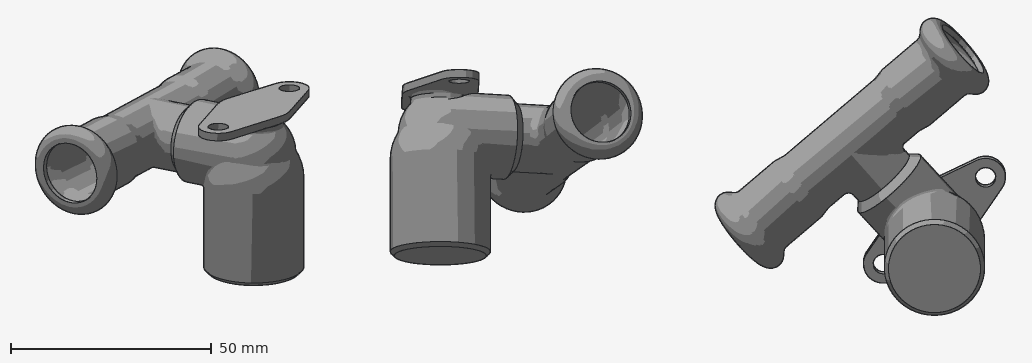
import cadquery as cq
import math

run_length = 74.0
run_radius = 17.0 / 2
socket_radius = 18.2 / 2
bead_radius = 11.5
bead_tube_radius = 2.9
bead_to_socket_fillet = 2.2
reducer_start = 15.0
reducer_end = 18.0
reducer_fillet = 2.2

wall = 1.5
mouth_radius = 7.8
mouth_start = run_length / 2 - bead_tube_radius

arm_radius = 21.0 / 2
arm_start = 14.0
arm_chamfer = arm_radius - run_radius
outlet_radius = 25.0 / 2
outlet_x = 31.0
outlet_shoulder_z = -6.6
outlet_bottom_z = -31.1
outlet_chamfer = 1.0
tee_fillet = 1.7
tee_half_width = 14.05
elbow_fillet = 1.0

plate_top_z = 11.9
plate_thickness = 2.0
plate_bottom_z = plate_top_z - plate_thickness
plate_middle_radius = 9.4
plate_end_radius = 4.95
plate_hole_offset = 17.0
plate_hole_diameter = 5.0
neck_radius = 7.4
neck_plate_fillet = 1.1
neck_foot_fillet = 0.7


def make_half_run(inset):
    """Revolved half of the run, from its middle to one end, shrunk by inset."""
    end_y = run_length / 2 - inset
    pipe_radius = run_radius - inset
    cup_radius = socket_radius - inset
    tube_radius = bead_tube_radius - inset
    bead_y = run_length / 2 - bead_tube_radius
    bead_centre = bead_radius - bead_tube_radius
    diagonal = tube_radius * math.sqrt(0.5)
    cone_y = bead_y - diagonal
    cone_radius = bead_centre + diagonal
    neck_y = cone_y - (cone_radius - cup_radius)
    half_run = (
        cq.Workplane("XY")
        .lineTo(pipe_radius, 0)
        .lineTo(pipe_radius, reducer_start)
        .lineTo(cup_radius, reducer_end)
        .lineTo(cup_radius, neck_y)
        .lineTo(cone_radius, cone_y)
        .threePointArc((bead_centre + tube_radius, bead_y), (bead_centre, end_y))
        .lineTo(0, end_y)
        .close()
        .revolve(360, (0, 0, 0), (0, 1, 0))
    )
    half_run = half_run.edges(ring_at(neck_y)).fillet(bead_to_socket_fillet + inset)
    for ring_y in (reducer_start, reducer_end):
        half_run = half_run.edges(ring_at(ring_y)).fillet(reducer_fillet)
    return half_run


def make_run(inset):
    """Run along Y: two wider sockets with a rounded bead at each end."""
    half_run = make_half_run(inset)
    return half_run.union(half_run.mirror("XZ"))


def ring_at(y):
    """Box selector for the circular edge around the Y axis at position y."""
    reach = 2 * bead_radius
    margin = 0.1
    return cq.selectors.BoxSelector(
        (-reach, y - margin, -reach), (reach, y + margin, reach), boundingbox=True
    )


def make_bore():
    """Cavity of the run, opened by a round mouth at both ends."""
    mouths = (
        cq.Workplane("XZ", origin=(0, -mouth_start, 0))
        .circle(mouth_radius)
        .extrude(run_length / 2 - mouth_start)
    )
    return make_run(wall).union(mouths).union(mouths.mirror("XZ"))


def make_elbow():
    """Round-ended arm blended into a domed outlet."""
    arm = (
        cq.Workplane("YZ", origin=(arm_start - arm_chamfer, 0, 0))
        .circle(arm_radius)
        .extrude(outlet_x - arm_start + arm_chamfer)
        .faces("<X")
        .chamfer(arm_chamfer)
    )
    arm_dome = cq.Workplane("XY", origin=(outlet_x, 0, 0)).sphere(arm_radius)
    outlet = (
        cq.Workplane("XY", origin=(outlet_x, 0, outlet_bottom_z))
        .circle(outlet_radius)
        .extrude(outlet_shoulder_z - outlet_bottom_z)
        .faces("<Z")
        .chamfer(outlet_chamfer)
    )
    outlet_dome = cq.Workplane("XY", origin=(outlet_x, 0, outlet_shoulder_z)).sphere(outlet_radius)
    elbow = arm.union(arm_dome).union(outlet.union(outlet_dome))
    return elbow.edges("%BSPLINE").fillet(elbow_fillet)


def make_tee():
    """Equal-bore junction of run and branch, with its inside corner rounded."""
    barrel = cq.Workplane("XZ").circle(run_radius).extrude(tee_half_width, both=True)
    branch = cq.Workplane("YZ").circle(run_radius).extrude(arm_start)
    tee = barrel.union(branch)
    return tee.edges("%ELLIPSE").fillet(tee_fillet)


def make_neck():
    """Round neck on the arm's dome, filleted at its foot and flared under the plate."""
    flare_z = plate_bottom_z - neck_plate_fillet
    flare_radius = neck_radius + neck_plate_fillet
    flare_bend = neck_plate_fillet * math.sqrt(0.5)
    flare_middle = (flare_radius - flare_bend, flare_z + flare_bend)
    foot_x = neck_radius + neck_foot_fillet
    foot_reach = arm_radius + neck_foot_fillet
    foot_z = math.sqrt(foot_reach**2 - foot_x**2)
    foot_on_dome = (foot_x * arm_radius / foot_reach, foot_z * arm_radius / foot_reach)
    foot_angle = math.pi + math.atan2(foot_z, foot_x) / 2
    foot_middle = (
        foot_x + neck_foot_fillet * math.cos(foot_angle),
        foot_z + neck_foot_fillet * math.sin(foot_angle),
    )
    return (
        cq.Workplane("XZ")
        .lineTo(*foot_on_dome)
        .threePointArc(foot_middle, (neck_radius, foot_z))
        .lineTo(neck_radius, flare_z)
        .threePointArc(flare_middle, (flare_radius, plate_bottom_z))
        .lineTo(0, plate_bottom_z)
        .close()
        .revolve(360, (0, 0, 0), (0, 1, 0))
        .translate((outlet_x, 0, 0))
    )


def make_plate():
    """Lozenge plate: a middle disc and two end discs joined by tangents."""
    lean_sine = (plate_middle_radius - plate_end_radius) / plate_hole_offset
    lean_cosine = math.sqrt(1 - lean_sine**2)
    middle_x = plate_middle_radius * lean_cosine
    middle_y = plate_middle_radius * lean_sine
    end_x = plate_end_radius * lean_cosine
    end_y = plate_hole_offset + plate_end_radius * lean_sine
    tip_y = plate_hole_offset + plate_end_radius
    return (
        cq.Workplane("XY", origin=(outlet_x, 0, plate_bottom_z))
        .moveTo(middle_x, -middle_y)
        .threePointArc((plate_middle_radius, 0), (middle_x, middle_y))
        .lineTo(end_x, end_y)
        .threePointArc((0, tip_y), (-end_x, end_y))
        .lineTo(-middle_x, middle_y)
        .threePointArc((-plate_middle_radius, 0), (-middle_x, -middle_y))
        .lineTo(-end_x, -end_y)
        .threePointArc((0, -tip_y), (end_x, -end_y))
        .close()
        .extrude(plate_thickness)
        .pushPoints([(0, plate_hole_offset), (0, -plate_hole_offset)])
        .circle(plate_hole_diameter / 2)
        .cutThruAll()
    )


body = make_tee().union(make_run(0)).union(make_elbow()).union(make_neck()).union(make_plate())
result = body.cut(make_bore()).clean()